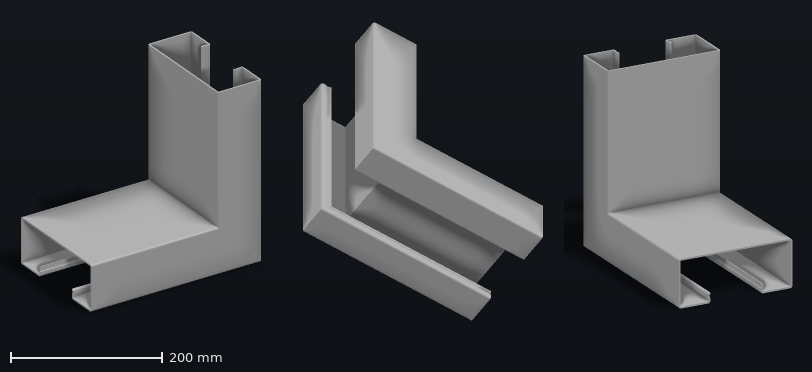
import cadquery as cq

width = 170.0
leg_length = 270.0
depth = 70.0

wall = 2.5
corner_radius = 3.2
lip_bend_radius = 1.0
flange_width = 47.0

lip_height = 15.0
bead_depth = 1.0
bead_taper = 0.3
bead_start = 7.0
bead_end = 8.5
groove_end = 12.0
groove_exit = 12.7
tip_round_start = 12.0

half_width = width / 2
slot_half_width = half_width - flange_width

corner_cut = 1 - 0.5 ** 0.5


def channel_half_profile():
    """Right half of the section: X across the channel, Z up from the slotted face."""
    slot_face = slot_half_width
    lip_inner = slot_face + wall
    groove_floor = slot_face + bead_depth
    bead_inner = lip_inner + bead_depth
    side_inner = half_width - wall
    web_inner = depth - wall
    edge_cut = corner_radius * corner_cut
    bend_cut = lip_bend_radius * corner_cut
    tip_width = bead_inner - slot_face
    tip_round_height = lip_height - tip_round_start
    tip_middle = (bead_inner - tip_width * corner_cut, lip_height - tip_round_height * corner_cut)
    return (
        cq.Workplane("XZ")
        .moveTo(0, depth)
        .lineTo(half_width - corner_radius, depth)
        .threePointArc((half_width - edge_cut, depth - edge_cut), (half_width, depth - corner_radius))
        .lineTo(half_width, corner_radius)
        .threePointArc((half_width - edge_cut, edge_cut), (half_width - corner_radius, 0))
        .lineTo(slot_face + corner_radius, 0)
        .threePointArc((slot_face + edge_cut, edge_cut), (slot_face, corner_radius))
        .lineTo(slot_face, bead_start)
        .lineTo(groove_floor - bead_taper, bead_end)
        .lineTo(groove_floor, groove_end)
        .lineTo(slot_face, groove_exit)
        .lineTo(slot_face, lip_height)
        .threePointArc(tip_middle, (bead_inner, tip_round_start))
        .lineTo(bead_inner + bead_taper, bead_end)
        .lineTo(lip_inner, bead_start)
        .lineTo(lip_inner, wall + lip_bend_radius)
        .threePointArc((lip_inner + bend_cut, wall + bend_cut), (lip_inner + lip_bend_radius, wall))
        .lineTo(side_inner, wall)
        .lineTo(side_inner, web_inner)
        .lineTo(0, web_inner)
        .close()
    )


def straight_channel():
    """Full-length slotted channel running from the XZ plane towards -Y."""
    right_half = channel_half_profile().extrude(leg_length)
    return right_half.union(right_half.mirror("YZ"))


def mitre_waste():
    """Wedge on the heel side of the 45 degree joint plane Z = -Y."""
    return (
        cq.Workplane("YZ")
        .polyline([(0, 0), (-depth, depth), (0, depth)])
        .close()
        .extrude(half_width, both=True)
    )


horizontal_leg = straight_channel().cut(mitre_waste()).solids()

upright_leg = horizontal_leg.mirror(cq.Vector(0, 1, 1))

result = cq.Compound.makeCompound([horizontal_leg.val(), upright_leg.val()])